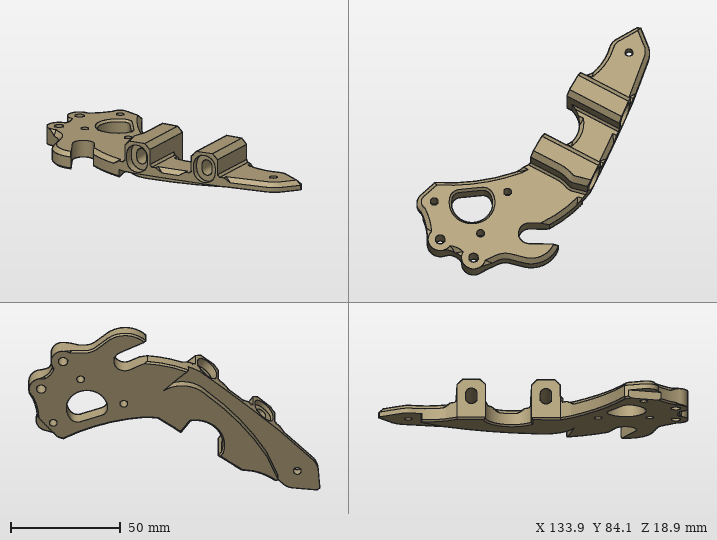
import cadquery as cq
import math

plate_length = 133.9
height = 18.9
plate_top = 8.0
step_height = 3.7
top_chamfer = 2.0
bottom_chamfer = 0.8
chamfer_angle = 45
runout = 3.2
runout_taper = math.degrees(math.atan(runout / top_chamfer))
margin = 13.4

tilt = math.radians(14)
along_end = (math.cos(tilt), -math.sin(tilt))
toward_front = (-math.sin(tilt), -math.cos(tilt))
end_start = (56.5, 38.5)
lug_width = 13.1
lug_pitch = 34.0
lug_chamfer = 2.5
flare_start = 14.2
flare_x = 49.4
foot_size = 1.1
pad_margin = 2.0
lug_reach = 40.2

bore_z = 11.0
bore_width = 5.2
counterbore_width = 10.8
bore_straight = 2.1
counterbore_floors = (25.5, 24.4)

slot_center = (23.5, 30.3)
slot_width = 10.0

window_center = (31.3, 59.5)
window_radius = 9.4
window_flat = 5.8
window_flat_angle = math.radians(21)
window_corner = 4.0
window_chamfer = 1.1

lobe_centers = [(5.5, 51.8), (10.2, 68.8)]
lobe_radius = 5.5
lobe_hole = 4.3
small_holes = [(27.3, 76.2), (17.8, 51.8), (40.4, 45.1), (120.4, 9.2)]
small_hole = 3.5

rear_step_y = 79.5
front_step_x = 46.2
tip_step_x = 116.5
arm_rear_y = 26.8


def lug_point(across, forward):
    """Plan point from a distance along the lug end line and one toward the front."""
    return (
        end_start[0] + across * along_end[0] + forward * toward_front[0],
        end_start[1] + across * along_end[1] + forward * toward_front[1],
    )


def plate_outline(z=0.0):
    """Plan of the plate; the stretch across the hook slot is cut away later."""
    first_lobe = lobe_centers[0]
    return (
        cq.Workplane("XY", origin=(0, 0, z))
        .moveTo(37.1, 78.5)
        .threePointArc((43.5, 58.4), (52.6, 42.6))
        .lineTo(*end_start)
        .lineTo(*lug_point(lug_width, 0))
        .lineTo(*lug_point(lug_width, 7.6))
        .threePointArc((79.3, 21.8), lug_point(lug_pitch, 2.7))
        .lineTo(*lug_point(lug_pitch, 0))
        .lineTo(*lug_point(lug_pitch + lug_width, 0))
        .lineTo(106.3, 23.4)
        .threePointArc((113.1, 20.0), (120.8, 18.6))
        .threePointArc((123.6, 18.1), (126.0, 16.5))
        .lineTo(plate_length, 8.8)
        .lineTo(plate_length, 7.2)
        .lineTo(125.6, 1.2)
        .threePointArc((122.6, 0.1), (119.5, 0.0))
        .lineTo(98.8, 1.6)
        .threePointArc((75.0, 5.0), (51.5, 9.0))
        .threePointArc((40.4, 14.7), (28.8, 24.6))
        .lineTo(21.8, 16.2)
        .threePointArc((13.0, 20.5), (9.6, 28.5))
        .lineTo(9.6, 35.5)
        .threePointArc((9.1, 38.7), (7.2, 41.5))
        .lineTo(0.8, 48.9)
        .threePointArc((first_lobe[0] - lobe_radius, first_lobe[1]), (4.4, 57.2))
        .threePointArc((6.4, 61.9), (5.5, 65.7))
        .threePointArc((5.8, 72.3), (9.9, 74.8))
        .threePointArc((16.0, 77.1), (21.4, 80.7))
        .threePointArc((25.0, 83.8), (29.5, 83.1))
        .close()
    )


def make_lobe(center):
    """Disc with shallow cones that fill in the plate chamfers around the lobe."""
    def cone(rim_z, depth):
        spread = runout * abs(depth) / top_chamfer
        base = cq.Workplane("XY", origin=(*center, rim_z)).circle(lobe_radius + spread)
        return base.extrude(depth, taper=runout_taper)

    upper = cone(plate_top - top_chamfer, top_chamfer)
    lower = cone(bottom_chamfer, -bottom_chamfer)
    return upper.union(lower)


def make_plate(prism):
    """Plate with a chamfered rim, except around the lobes."""
    upper_edge = plate_top - top_chamfer
    plate = plate_outline(bottom_chamfer).extrude(upper_edge - bottom_chamfer)
    plate = plate.union(plate_outline(upper_edge).extrude(top_chamfer, taper=chamfer_angle))
    plate = plate.union(plate_outline(bottom_chamfer).extrude(-bottom_chamfer, taper=chamfer_angle))
    for center in lobe_centers:
        plate = plate.union(make_lobe(center).intersect(prism))
    return plate


def make_lug(plan, prism):
    """Chamfered lug with a sloped foot and a pad that interrupts the plate chamfer."""
    def layer(z, grow=0.0):
        outline = plan(cq.Workplane("XY", origin=(0, 0, z)))
        return outline.offset2D(grow, "intersection") if grow else outline

    lug = layer(plate_top).extrude(height - plate_top).faces(">Z").chamfer(lug_chamfer)
    foot = layer(plate_top, foot_size).extrude(foot_size, taper=chamfer_angle)
    pad_reach = foot_size + pad_margin + runout
    pad = layer(plate_top - top_chamfer, pad_reach).extrude(top_chamfer, taper=runout_taper)
    return lug.union(foot).union(pad).intersect(prism)


def straight_lug_plan(plane):
    left, right = lug_pitch, lug_pitch + lug_width
    corners = [
        lug_point(left, -margin),
        lug_point(left, lug_reach),
        lug_point(right, lug_reach),
        lug_point(right, -margin),
    ]
    return plane.polyline(corners).close()


def flared_lug_plan(plane):
    """The left side swings outward near the front to clear the counterbore."""
    return (
        plane
        .moveTo(*lug_point(0, -margin))
        .lineTo(*lug_point(0, flare_start))
        .threePointArc((52.1, 22.1), (50.5, 19.4))
        .threePointArc((49.7, 18.0), (flare_x, 16.5))
        .lineTo(flare_x, 0)
        .lineTo(*lug_point(lug_width, lug_reach))
        .lineTo(*lug_point(lug_width, -margin))
        .close()
    )


def lug_bore(across, floor):
    """Through bore along the lug, widened from the floor to the front."""
    def obround(forward, width, length):
        plane = cq.Plane(
            origin=(*lug_point(across, forward), bore_z),
            xDir=(along_end[0], along_end[1], 0),
            normal=(toward_front[0], toward_front[1], 0),
        )
        return cq.Workplane(plane).slot2D(width + bore_straight, width, 90).extrude(length)

    bore = obround(-margin, bore_width, floor + 2 * margin)
    return bore.union(obround(floor, counterbore_width, margin))


def hook_slot():
    axis = (math.sin(tilt), -math.cos(tilt))
    length = 2 * margin
    center = (slot_center[0] + axis[0] * length / 2, slot_center[1] + axis[1] * length / 2)
    return (
        cq.Workplane("XY").center(*center)
        .slot2D(length + slot_width, slot_width, math.degrees(tilt) - 90)
        .extrude(plate_top)
    )


def window():
    """Circle cut by a flat, with rounded corners and a chamfered upper rim."""
    half_angle = math.acos(window_flat / window_radius)

    def on_circle(angle):
        return (
            window_center[0] + window_radius * math.cos(angle),
            window_center[1] + window_radius * math.sin(angle),
        )

    profile = (
        cq.Workplane("XY")
        .moveTo(*on_circle(window_flat_angle + half_angle))
        .threePointArc(on_circle(window_flat_angle + math.pi), on_circle(window_flat_angle - half_angle))
        .close()
    )
    through = profile.extrude(plate_top).edges("|Z").fillet(window_corner)
    rim = through.faces(">Z").wires().toPending().offset2D(window_chamfer)
    rim = rim.extrude(-window_chamfer, taper=chamfer_angle, combine=False)
    return through.union(rim)


def underside_recess():
    """Steps under the rear tip and under the front and tip of the arm."""
    rear = cq.Workplane("XY").box(plate_length, margin, step_height, centered=False)
    rear = rear.translate((0, rear_step_y, 0))
    front = (
        cq.Workplane("XY")
        .moveTo(front_step_x, -margin)
        .lineTo(front_step_x, 16.0)
        .lineTo(46.9, 26.8)
        .threePointArc((51.5, 17.4), (61.3, 13.4))
        .threePointArc((83.0, 11.5), (103.9, 13.4))
        .lineTo(tip_step_x, 17.4)
        .lineTo(tip_step_x, arm_rear_y)
        .lineTo(plate_length + margin, arm_rear_y)
        .lineTo(plate_length + margin, -margin)
        .close()
        .extrude(step_height)
    )
    return rear.union(front)


def round_holes(centers, diameter):
    return cq.Workplane("XY").pushPoints(centers).circle(diameter / 2).extrude(plate_top)


prism = plate_outline().extrude(height)
result = make_plate(prism)
result = result.union(make_lug(flared_lug_plan, prism))
result = result.union(make_lug(straight_lug_plan, prism))
result = result.cut(hook_slot()).cut(window()).cut(underside_recess())
result = result.cut(round_holes(lobe_centers, lobe_hole)).cut(round_holes(small_holes, small_hole))
for index, floor in enumerate(counterbore_floors):
    result = result.cut(lug_bore(index * lug_pitch + lug_width / 2, floor))